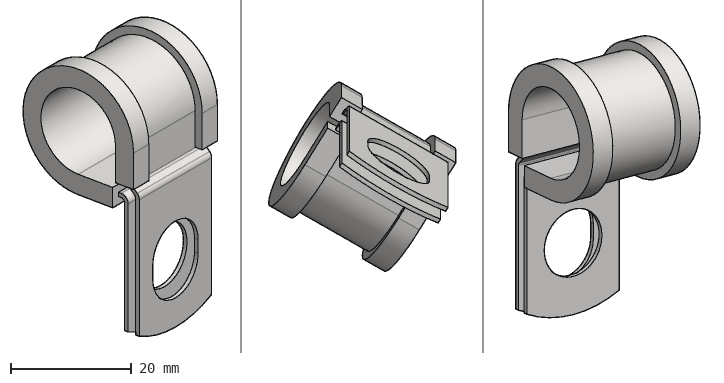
import cadquery as cq
import math

overall_height = 49.1
outer_radius = 11.805
inner_radius = 7.95
cushion_width = 22.1
side_leg_length = 6.85
bottom_leg_length = 7.35

channel_width = 14.05
channel_depth = 1.5

strap_width = 19.05
strap_thickness = 0.8
strap_outer_radius = outer_radius - channel_depth
strap_inner_radius = strap_outer_radius - strap_thickness
strap_overlap = 1.0
inside_bend_radius = 0.7
outside_bend_radius = inside_bend_radius + strap_thickness

inner_tab_x = 9.43
outer_tab_x = outer_radius
jog_start = 7.4
tab_bottom_z = outer_radius - overall_height
tab_end_rise = 2.2
hole_diameter = 11.9
slot_length = 14.45
hole_z = -24.55


def extrude_centered(outline, width):
    """Extrude an XZ outline along Y, symmetric about the XZ plane."""
    return outline.extrude(width).translate((0, width / 2, 0))


def cushion_layer(inside_radius, outside_radius, width):
    """Three-quarter ring with its side leg and its bottom leg."""
    inside_diagonal = inside_radius * math.sqrt(0.5)
    outside_diagonal = outside_radius * math.sqrt(0.5)
    outline = (
        cq.Workplane("XZ")
        .moveTo(outside_radius, -side_leg_length)
        .lineTo(outside_radius, 0)
        .threePointArc((-outside_diagonal, outside_diagonal), (0, -outside_radius))
        .lineTo(bottom_leg_length, -outside_radius)
        .lineTo(bottom_leg_length, -inside_radius)
        .lineTo(0, -inside_radius)
        .threePointArc((-inside_diagonal, inside_diagonal), (inside_radius, 0))
        .lineTo(inside_radius, -side_leg_length)
        .close()
    )
    return extrude_centered(outline, width)


def bent_strip(outline_points, inside_corners, outside_corners):
    """Strip of strap metal with rounded bends."""
    strip = extrude_centered(cq.Workplane("XZ").polyline(outline_points).close(), strap_width)
    for corners, radius in (
        (inside_corners, inside_bend_radius),
        (outside_corners, outside_bend_radius),
    ):
        for x, z in corners:
            strip = strip.edges(cq.selectors.NearestToPointSelector((x, 0, z))).fillet(radius)
    return strip


def inner_tab():
    """Strap turned down from the end of the bottom leg."""
    start_x = bottom_leg_length - strap_overlap
    inside = (inner_tab_x - strap_thickness, -strap_outer_radius)
    outside = (inner_tab_x, -strap_inner_radius)
    points = [
        (start_x, -strap_inner_radius),
        outside,
        (inner_tab_x, tab_bottom_z),
        (inner_tab_x - strap_thickness, tab_bottom_z),
        inside,
        (start_x, -strap_outer_radius),
    ]
    return bent_strip(points, [inside], [outside])


def outer_tab():
    """Strap continuing from the side leg, with a 45 degree jog outward."""
    start_z = strap_overlap - side_leg_length
    jog = outer_tab_x - strap_outer_radius
    miter = strap_thickness / 2 * math.tan(math.radians(22.5))
    upper_outside = (strap_inner_radius, -jog_start - miter)
    upper_inside = (strap_outer_radius, -jog_start + miter)
    lower_inside = (upper_outside[0] + jog, upper_outside[1] - jog)
    lower_outside = (upper_inside[0] + jog, upper_inside[1] - jog)
    points = [
        (strap_outer_radius, start_z),
        upper_inside,
        lower_outside,
        (outer_tab_x, tab_bottom_z),
        (outer_tab_x - strap_thickness, tab_bottom_z),
        lower_inside,
        upper_outside,
        (strap_inner_radius, start_z),
    ]
    return bent_strip(points, [upper_inside, lower_inside], [upper_outside, lower_outside])


def tab_envelope():
    """Straight-sided block with the arched tab end."""
    half_width = strap_width / 2
    shoulder_z = tab_bottom_z + tab_end_rise
    return (
        cq.Workplane("YZ")
        .moveTo(-half_width, 0)
        .lineTo(-half_width, shoulder_z)
        .threePointArc((0, tab_bottom_z), (half_width, shoulder_z))
        .lineTo(half_width, 0)
        .close()
        .extrude(outer_radius)
    )


def bolt_hole():
    """Round hole through the inner tab."""
    return cq.Workplane("YZ").center(0, hole_z).circle(hole_diameter / 2).extrude(outer_radius)


def bolt_slot():
    """Upright slot through the outer tab."""
    return cq.Workplane("YZ").center(0, hole_z).slot2D(slot_length, hole_diameter, 90).extrude(outer_radius)


channel = cushion_layer(strap_outer_radius, outer_radius, channel_width)
cushion = cushion_layer(inner_radius, outer_radius, cushion_width).cut(channel)
inner_strap = inner_tab().cut(bolt_hole())
outer_strap = outer_tab().cut(bolt_slot())
tabs = inner_strap.union(outer_strap).intersect(tab_envelope())
result = cushion.union(tabs)